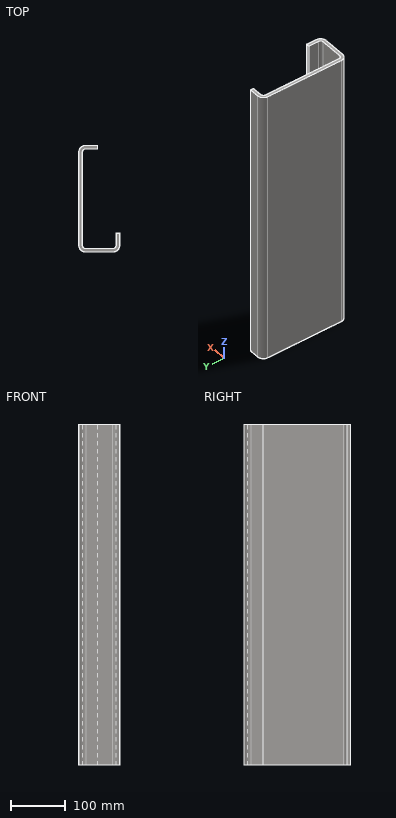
import cadquery as cq

width = 75.0
depth = 195.0
length = 622.0

thickness = 7.0
inner_radius = 6.0
outer_radius = inner_radius + thickness

back_lip = 35.0
front_lip = 35.0

left = -width / 2
right = width / 2
front = -depth / 2
back = depth / 2

profile = (
    cq.Workplane("XY")
    .moveTo(left, front)
    .lineTo(right, front)
    .lineTo(right, front + front_lip)
    .lineTo(right - thickness, front + front_lip)
    .lineTo(right - thickness, front + thickness)
    .lineTo(left + thickness, front + thickness)
    .lineTo(left + thickness, back - thickness)
    .lineTo(left + back_lip, back - thickness)
    .lineTo(left + back_lip, back)
    .lineTo(left, back)
    .close()
)
channel = profile.extrude(length)


def round_bend(body, x, y, x_inward, y_inward):
    """Round the outer edge at (x, y) and the inner edge one thickness inward."""
    for offset, radius in ((0, outer_radius), (thickness, inner_radius)):
        edge_point = (x + x_inward * offset, y + y_inward * offset, length / 2)
        edge = cq.selectors.NearestToPointSelector(edge_point)
        body = body.edges("|Z").edges(edge).fillet(radius)
    return body


channel = round_bend(channel, left, back, 1, -1)
channel = round_bend(channel, left, front, 1, 1)
channel = round_bend(channel, right, front, -1, 1)

result = channel